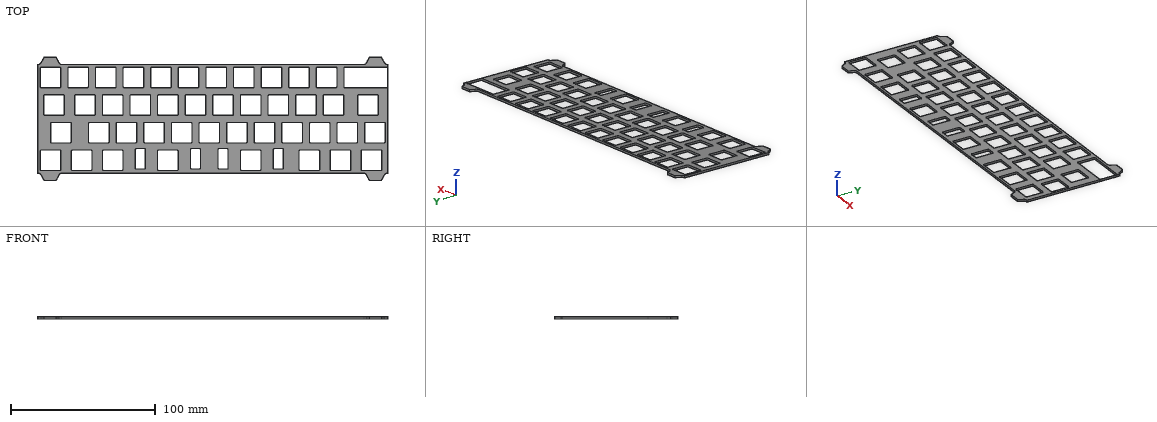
import cadquery as cq
import math

key_pitch = 19.05
length = 241.84
overall_width = 85.15
thickness = 1.6
tab_height = 5.0
body_width = overall_width - 2 * tab_height

tab_end_inset = 4.6
tab_tip_width = 8.3
tab_outer_angle = 60
tab_inner_angle = 63
tab_outer_run = tab_height / math.tan(math.radians(tab_outer_angle))
tab_inner_run = tab_height / math.tan(math.radians(tab_inner_angle))
tab_fillet = 2.0

switch_size = 14.0
cutout_corner_radius = 0.5
stabilizer_width = 6.75
stabilizer_height = 14.0
stabilizer_shift = 1.0
stabilizer_spacing = key_pitch
wide_opening_length = 30.0
opening_margin = (key_pitch - switch_size) / 2

back_row = [1.0] * 11 + [1.75]
second_row = [1.25] + [1.0] * 10 + [1.5]
third_row = [1.75] + [1.0] * 11
front_row = [1.0, 1.25, 1.0, 3.0, 3.0, 1.25, 1.0, 1.25]
row_units = sum(back_row)
row_count = 4
space_bar_units = 3.0

tip_outer = length / 2 - tab_end_inset
tip_inner = tip_outer - tab_tip_width
foot_outer = tip_outer + tab_outer_run
foot_inner = tip_inner - tab_inner_run


def row_y(row):
    """Centre line of a key row, counted from the back."""
    return ((row_count - 1) / 2 - row) * key_pitch


def key_centers(widths):
    """X of every key centre in a row."""
    centers = []
    left = -row_units / 2
    for width in widths:
        centers.append((left + width / 2) * key_pitch)
        left += width
    return centers


def cutouts(centers, width, height):
    """Round-cornered cutters through the plate, one on each centre point."""
    blocks = cq.Workplane("XY").pushPoints(centers).rect(width, height).extrude(thickness)
    return blocks.edges("|Z").fillet(cutout_corner_radius)


def make_tab(side_x, side_y):
    """Tab with its outer flank towards the end of the plate."""
    root_y = body_width / 2
    tip_y = overall_width / 2
    overlap_y = root_y - tab_height
    outline = [
        (foot_inner, root_y),
        (tip_inner, tip_y),
        (tip_outer, tip_y),
        (foot_outer, root_y),
        (tip_outer, overlap_y),
        (tip_inner, overlap_y),
    ]
    points = [(side_x * x, side_y * y) for x, y in outline]
    return cq.Workplane("XY").polyline(points).close().extrude(thickness)


def make_blank():
    """Plain plate with four tabs, blended where the tabs meet the long edges."""
    blank = cq.Workplane("XY").rect(length, body_width).extrude(thickness)
    for side_x in (-1, 1):
        for side_y in (-1, 1):
            blank = blank.union(make_tab(side_x, side_y))
    for foot_x in (foot_inner, foot_outer):
        for side_x in (-1, 1):
            for side_y in (-1, 1):
                foot = (side_x * foot_x, side_y * body_width / 2, thickness / 2)
                blank = blank.edges(cq.selectors.NearestToPointSelector(foot)).fillet(tab_fillet)
    return blank


def cut_switches(plate):
    """Square switch openings; the last back-row opening is cut separately."""
    rows = [back_row[:-1], second_row, third_row, front_row]
    centers = []
    for row, widths in enumerate(rows):
        for x in key_centers(widths):
            centers.append((x, row_y(row)))
    return plate.cut(cutouts(centers, switch_size, switch_size))


def cut_wide_opening(plate):
    """Long opening at the right end of the back row, leaving a thin end wall."""
    left = (row_units / 2 - back_row[-1]) * key_pitch + opening_margin
    center = (left + wide_opening_length / 2, row_y(0))
    return plate.cut(cutouts([center], wide_opening_length, switch_size))


def cut_stabilizers(plate):
    """Narrow slots on both sides of each space bar."""
    slot_y = row_y(row_count - 1) + stabilizer_shift
    centers = []
    for width, x in zip(front_row, key_centers(front_row)):
        if width == space_bar_units:
            for side in (-1, 1):
                centers.append((x + side * stabilizer_spacing, slot_y))
    return plate.cut(cutouts(centers, stabilizer_width, stabilizer_height))


result = make_blank()
result = cut_switches(result)
result = cut_wide_opening(result)
result = cut_stabilizers(result)